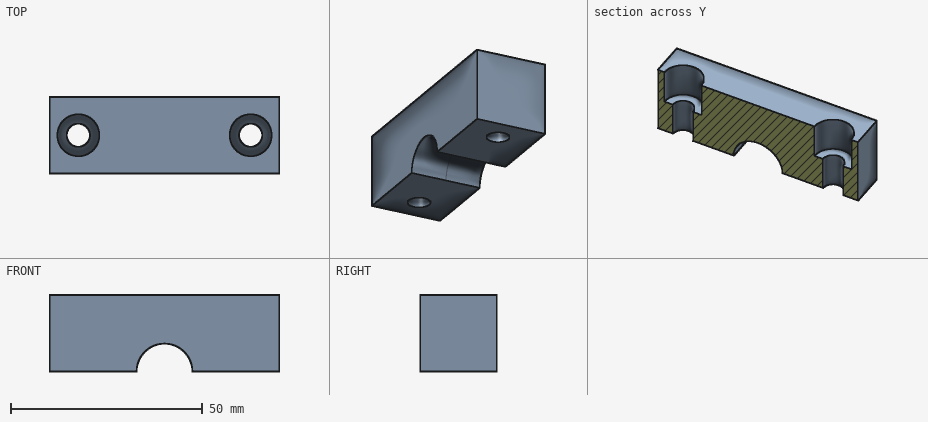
import cadquery as cq

length = 60.0
width = length / 3
height = width

saddle_diameter = 14.5

hole_diameter = 6.0
counterbore_diameter = 11.0
counterbore_depth = height / 2
hole_end_distance = 7.5
hole_spacing = length - 2 * hole_end_distance


def make_block():
    """Plain block centred in X and Y, resting on Z = 0."""
    return cq.Workplane("XY").box(length, width, height, centered=(True, True, False))


def cut_saddle(body):
    """Cut the half-round channel, centred on the bottom face, along Y."""
    channel = cq.Workplane("XZ").circle(saddle_diameter / 2).extrude(width / 2, both=True)
    return body.cut(channel)


def cut_screw_holes(body):
    """Cut the two through holes, counterbored from the top face."""
    return (
        body.faces(">Z")
        .workplane(origin=(0, 0, height))
        .rarray(hole_spacing, 0.6, 2, 1)
        .cboreHole(hole_diameter, counterbore_diameter, counterbore_depth)
    )


result = cut_screw_holes(cut_saddle(make_block()))